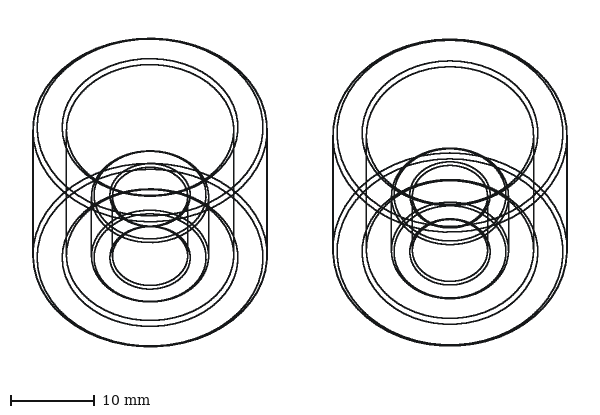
import cadquery as cq

SLEEVE_OUTER_DIAMETER = 28.0
SLEEVE_BORE_DIAMETER = 20.0
SLEEVE_LENGTH = 25.0
SLEEVE_CHAMFER = 0.5

BUSH_OUTER_DIAMETER = 14.0
BUSH_BORE_DIAMETER = 9.0
BUSH_LENGTH = 12.0
BUSH_CHAMFER = 0.3


def chamfered_ring(outer_diameter, bore_diameter, length, chamfer):
    """Upright ring with its base at Z = 0 and all four circular edges chamfered."""
    ring = cq.Workplane("XY").circle(outer_diameter / 2).circle(bore_diameter / 2).extrude(length)
    return ring.faces("<Z or >Z").edges().chamfer(chamfer)


sleeve = chamfered_ring(SLEEVE_OUTER_DIAMETER, SLEEVE_BORE_DIAMETER, SLEEVE_LENGTH, SLEEVE_CHAMFER)
bush = chamfered_ring(BUSH_OUTER_DIAMETER, BUSH_BORE_DIAMETER, BUSH_LENGTH, BUSH_CHAMFER)

result = cq.Compound.makeCompound([sleeve.val(), bush.val()])